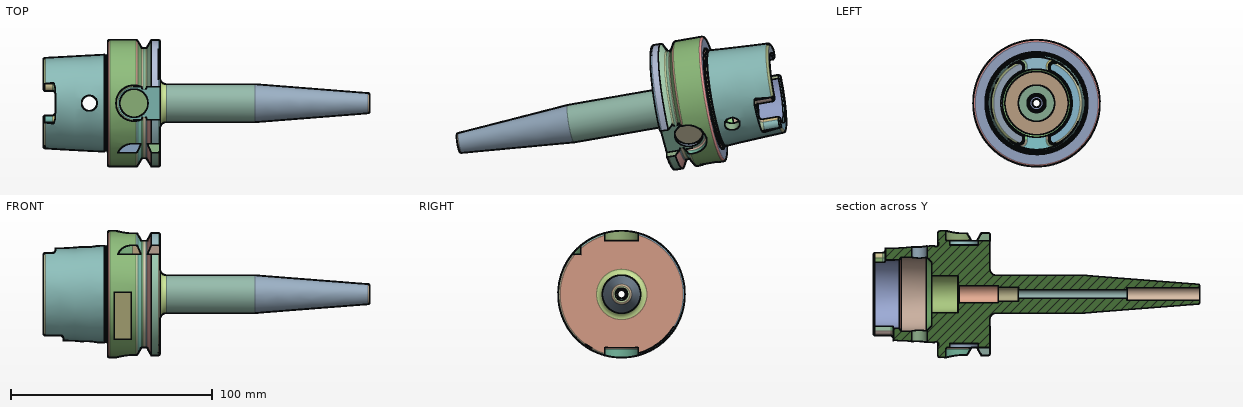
import cadquery as cq
import math


taper_length = 32.0
taper_tail_radius = 22.5
taper_root_radius = 24.15
tail_edge_fillet = 1.2
undercut_start_x = -1.7
undercut_depth = 0.4
undercut_floor_length = 0.9
undercut_end_radius = 24.9
face_recess_radius = 25.5
face_recess_depth = 0.5

flange_radius = 31.5
flange_width = 26.0
flange_edge_fillet = 1.0
groove_center = 18.1
groove_top_half_width = 3.5
groove_floor_radius = 27.4
groove_flank_angle = 30.0
groove_fillet = 0.8
groove_rim_fillet = 1.0

shank_radius = 9.5
shank_fillet = 3.0
tip_x = 130.0
tip_radius = 5.0
tip_fillet = 1.0
shank_taper_angle = 4.5

mouth_radius = 17.7
mouth_chamfer = 0.8
lip_radius = mouth_radius - mouth_chamfer
lip_end_x = -19.0
clamp_shoulder_angle = 60.0
clamp_bore_radius = 18.3
bore_floor_radius = 15.7
bore_floor_x = -3.0
seat_radius = 9.0
seat_end_x = 10.0
thread_radius = 4.7
thread_end_x = 30.0
thread_chamfer = 0.6
drill_step_radius = 3.4
drill_step_end_x = 40.0
coolant_radius = 2.0
tool_bore_radius = 3.0
tool_bore_depth = 36.0

drive_slot_half_width = 6.0
drive_slot_outer_rounding = 2.5
drive_slot_floor_fillet = 1.4
drive_slot_opening = 5.0
drive_slot_mouth_chamfer = 0.8
upper_drive_slot_depth = 6.0
lower_drive_slot_depth = 10.0

access_hole_x = -9.1
access_hole_radius = 3.75

keyway_x = 13.0
keyway_end_radius = 8.9
keyway_half_width = 8.2
keyway_floor_height = 26.5
keyway_floor_fillet = 0.8
keyway_hole_radius = 7.0
keyway_hole_depth = 2.0

notch_x = 12.2
notch_end_radius = 8.0
notch_wall_offset = 20.1
notch_floor_height = 19.8

label_start_x = 3.3
label_end_x = 11.8
label_top_angle = 1.6
label_bottom_angle = -45.0

outside_margin = 5.0
tolerance = 0.01


def revolve_about_axis(profile):
    return profile.close().revolve(360, (0, 0, 0), (1, 0, 0))


def make_taper():
    undercut_radius = taper_root_radius - undercut_depth
    undercut_floor_start = undercut_start_x + undercut_depth
    body = revolve_about_axis(
        cq.Workplane("XY")
        .moveTo(-taper_length, 0)
        .lineTo(-taper_length, taper_tail_radius)
        .lineTo(undercut_start_x, taper_root_radius)
        .lineTo(undercut_floor_start, undercut_radius)
        .lineTo(undercut_floor_start + undercut_floor_length, undercut_radius)
        .lineTo(face_recess_depth, undercut_end_radius)
        .lineTo(face_recess_depth, 0)
    )
    return body.faces("<X").edges().fillet(tail_edge_fillet)


def make_flange():
    flange = (
        cq.Workplane("YZ")
        .circle(flange_radius)
        .extrude(flange_width)
        .edges()
        .fillet(flange_edge_fillet)
    )
    face_recess = cq.Workplane("YZ").circle(face_recess_radius).extrude(face_recess_depth)
    flange = flange.cut(face_recess).cut(make_gripper_groove())
    rim_x = groove_center - groove_top_half_width
    rim = cq.selectors.BoxSelector(
        (rim_x - tolerance, -flange_radius, -flange_radius),
        (rim_x + tolerance, flange_radius, flange_radius),
    )
    flange = flange.edges(rim).fillet(groove_rim_fillet)
    keyways = make_keyway(1).union(make_keyway(-1))
    return flange.cut(keyways).cut(make_corner_notch()).cut(make_label_flat())


def make_gripper_groove():
    slope = math.tan(math.radians(groove_flank_angle))
    floor_half_width = groove_top_half_width - (flange_radius - groove_floor_radius) * slope
    outer_radius = flange_radius + outside_margin
    outer_half_width = groove_top_half_width + outside_margin * slope
    groove = revolve_about_axis(
        cq.Workplane("XY")
        .moveTo(groove_center - outer_half_width, outer_radius)
        .lineTo(groove_center - floor_half_width, groove_floor_radius)
        .lineTo(groove_center + floor_half_width, groove_floor_radius)
        .lineTo(groove_center + outer_half_width, outer_radius)
    )
    floor_edges = cq.selectors.BoxSelector(
        (groove_center - groove_top_half_width, -flange_radius, -flange_radius),
        (groove_center + groove_top_half_width, flange_radius, flange_radius),
    )
    return groove.edges(floor_edges).fillet(groove_fillet)


def make_shank():
    taper_start_x = tip_x - (shank_radius - tip_radius) / math.tan(math.radians(shank_taper_angle))
    shank = revolve_about_axis(
        cq.Workplane("XY")
        .moveTo(face_recess_depth, 0)
        .lineTo(face_recess_depth, shank_radius + shank_fillet)
        .lineTo(flange_width, shank_radius + shank_fillet)
        .radiusArc((flange_width + shank_fillet, shank_radius), -shank_fillet)
        .lineTo(taper_start_x, shank_radius)
        .lineTo(tip_x, tip_radius)
        .lineTo(tip_x, 0)
    )
    return shank.faces(">X").edges().fillet(tip_fillet)


def make_internal_bores():
    shoulder_length = (clamp_bore_radius - lip_radius) / math.tan(math.radians(clamp_shoulder_angle))
    floor_chamfer = clamp_bore_radius - bore_floor_radius
    return revolve_about_axis(
        cq.Workplane("XY")
        .moveTo(-taper_length, 0)
        .lineTo(-taper_length, mouth_radius)
        .lineTo(-taper_length + mouth_chamfer, lip_radius)
        .lineTo(lip_end_x, lip_radius)
        .lineTo(lip_end_x + shoulder_length, clamp_bore_radius)
        .lineTo(bore_floor_x - floor_chamfer, clamp_bore_radius)
        .lineTo(bore_floor_x, bore_floor_radius)
        .lineTo(bore_floor_x, seat_radius)
        .lineTo(seat_end_x, seat_radius)
        .lineTo(seat_end_x, thread_radius)
        .lineTo(seat_end_x + thread_chamfer, thread_radius - thread_chamfer)
        .lineTo(thread_end_x, thread_radius - thread_chamfer)
        .lineTo(thread_end_x, drill_step_radius)
        .lineTo(drill_step_end_x, drill_step_radius)
        .lineTo(drill_step_end_x, coolant_radius)
        .lineTo(tip_x - tool_bore_depth, coolant_radius)
        .lineTo(tip_x - tool_bore_depth, tool_bore_radius)
        .lineTo(tip_x, tool_bore_radius)
        .lineTo(tip_x, 0)
    )


def draw_drive_slot(plane, margin):
    """Slot outline whose walls round outwards into the taper surface, widened by a margin."""
    half_width = drive_slot_half_width + margin
    rounding = drive_slot_outer_rounding - margin
    center_distance = taper_tail_radius - drive_slot_outer_rounding
    center_y = drive_slot_half_width + drive_slot_outer_rounding
    center_z = math.sqrt(center_distance**2 - center_y**2)
    tangent_angle = math.atan2(center_z, center_y)
    mid_angle = (math.pi + tangent_angle) / 2
    mid_y = center_y + rounding * math.cos(mid_angle)
    mid_z = center_z + rounding * math.sin(mid_angle)
    tangent_y = center_y + rounding * math.cos(tangent_angle)
    tangent_z = center_z + rounding * math.sin(tangent_angle)
    outer_y = tangent_y + drive_slot_opening
    return (
        plane
        .moveTo(-half_width, 0)
        .lineTo(-half_width, center_z)
        .threePointArc((-mid_y, mid_z), (-tangent_y, tangent_z))
        .lineTo(-outer_y, tangent_z)
        .lineTo(-outer_y, flange_radius)
        .lineTo(outer_y, flange_radius)
        .lineTo(outer_y, tangent_z)
        .lineTo(tangent_y, tangent_z)
        .threePointArc((mid_y, mid_z), (half_width, center_z))
        .lineTo(half_width, 0)
        .close()
    )


def make_drive_slot(depth, side):
    end_plane = cq.Workplane("YZ", origin=(-taper_length, 0, 0))
    slot = draw_drive_slot(end_plane, 0).extrude(depth)
    floor_x = depth - taper_length
    wall_reach = drive_slot_half_width + drive_slot_outer_rounding + drive_slot_opening
    wall_edges = cq.selectors.BoxSelector(
        (floor_x - tolerance, -wall_reach, tolerance),
        (floor_x + tolerance, wall_reach, flange_radius - tolerance),
    )
    slot = slot.edges(wall_edges).fillet(drive_slot_floor_fillet)
    mouth = draw_drive_slot(end_plane, drive_slot_mouth_chamfer)
    mouth = draw_drive_slot(mouth.workplane(offset=drive_slot_mouth_chamfer), 0).loft(ruled=True)
    slot = slot.union(mouth)
    return slot if side > 0 else slot.rotate((0, 0, 0), (1, 0, 0), 180)


def make_keyway(side):
    """Flange keyway open towards the shank, with a shallow round hole in its floor."""
    height = flange_radius - keyway_floor_height + outside_margin
    straight = (
        cq.Workplane("XY", origin=(keyway_x + flange_width / 2, 0, keyway_floor_height))
        .rect(flange_width, 2 * keyway_half_width)
        .extrude(height)
    )
    round_end = (
        cq.Workplane("XY", origin=(keyway_x, 0, keyway_floor_height))
        .circle(keyway_end_radius)
        .extrude(height)
        .faces("<Z")
        .edges()
        .fillet(keyway_floor_fillet)
    )
    hole = (
        cq.Workplane("XY", origin=(keyway_x, 0, keyway_floor_height - keyway_hole_depth))
        .circle(keyway_hole_radius)
        .extrude(keyway_hole_depth + height)
    )
    keyway = round_end.union(straight).union(hole)
    return keyway if side > 0 else keyway.rotate((0, 0, 0), (1, 0, 0), 180)


def make_corner_notch():
    length = flange_width - notch_x + outside_margin
    center_y = -notch_wall_offset - notch_end_radius
    height = flange_radius - notch_floor_height
    round_end = (
        cq.Workplane("XY", origin=(notch_x, center_y, notch_floor_height))
        .circle(notch_end_radius)
        .extrude(height)
    )
    straight = (
        cq.Workplane("XY", origin=(notch_x + length / 2, center_y, notch_floor_height))
        .rect(length, 2 * notch_end_radius)
        .extrude(height)
    )
    return round_end.union(straight)


def make_label_flat():
    middle_angle = (label_top_angle + label_bottom_angle) / 2
    half_angle = math.radians(label_top_angle - label_bottom_angle) / 2
    flat_distance = flange_radius * math.cos(half_angle)
    return (
        cq.Workplane("XY")
        .box(label_end_x - label_start_x, outside_margin, 2 * flange_radius)
        .translate(((label_start_x + label_end_x) / 2, -flat_distance - outside_margin / 2, 0))
        .rotate((0, 0, 0), (1, 0, 0), -middle_angle)
    )


def make_access_hole():
    return (
        cq.Workplane("XY", origin=(access_hole_x, 0, -flange_radius))
        .circle(access_hole_radius)
        .extrude(2 * flange_radius)
    )


result = make_flange().union(make_taper()).union(make_shank()).cut(make_internal_bores())
result = result.cut(make_drive_slot(upper_drive_slot_depth, 1))
result = result.cut(make_drive_slot(lower_drive_slot_depth, -1))
result = result.cut(make_access_hole())